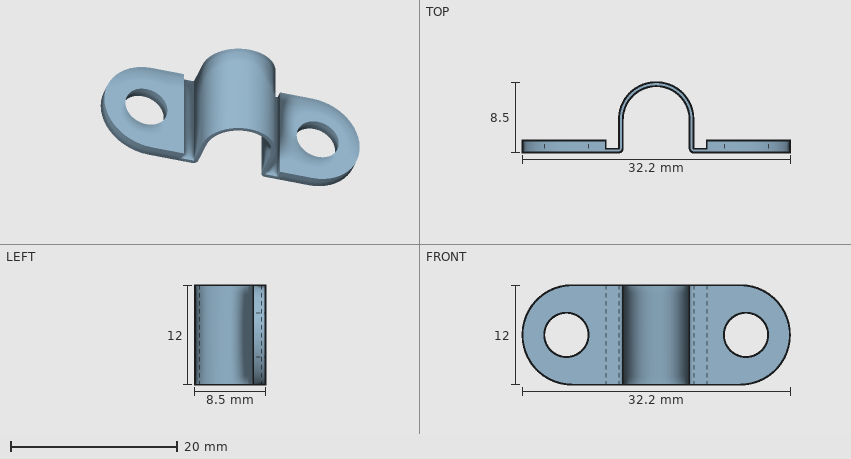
import cadquery as cq

overall_length = 32.2
overall_depth = 8.5
strap_width = 12.0

strap_thickness = 0.5
arch_outer_radius = 4.5
arch_inner_radius = arch_outer_radius - strap_thickness
arch_center_y = overall_depth - arch_outer_radius
mouth_radius = 0.6

pad_thickness = 1.5
pad_inner_x = 6.05
pad_end_radius = strap_width / 2
pad_end_x = overall_length / 2
hole_diameter = 5.3
hole_spacing = 21.6


def strap_body():
    """Build the bent strap with its thick pads, extruded across the strap width."""
    return (
        cq.Workplane("XY")
        .workplane(offset=-strap_width / 2)
        .moveTo(-pad_end_x, 0)
        .lineTo(-arch_inner_radius, 0)
        .lineTo(-arch_inner_radius, arch_center_y)
        .threePointArc((0, arch_center_y + arch_inner_radius), (arch_inner_radius, arch_center_y))
        .lineTo(arch_inner_radius, 0)
        .lineTo(pad_end_x, 0)
        .lineTo(pad_end_x, pad_thickness)
        .lineTo(pad_inner_x, pad_thickness)
        .lineTo(pad_inner_x, strap_thickness)
        .lineTo(arch_outer_radius, strap_thickness)
        .lineTo(arch_outer_radius, arch_center_y)
        .threePointArc((0, overall_depth), (-arch_outer_radius, arch_center_y))
        .lineTo(-arch_outer_radius, strap_thickness)
        .lineTo(-pad_inner_x, strap_thickness)
        .lineTo(-pad_inner_x, pad_thickness)
        .lineTo(-pad_end_x, pad_thickness)
        .close()
        .extrude(strap_width)
    )


def round_mouth(body):
    """Round the two bends where the flat base turns into the arch."""
    corners = [(-arch_inner_radius, 0, 0), (arch_inner_radius, 0, 0)]
    for corner in corners:
        body = body.edges(cq.selectors.NearestToPointSelector(corner)).fillet(mouth_radius)
    return body


def round_ends(body):
    """Trim the pads to full-radius ends."""
    envelope = (
        cq.Workplane("XZ")
        .slot2D(overall_length, 2 * pad_end_radius)
        .extrude(-overall_depth)
    )
    return body.intersect(envelope)


def drill_holes(body):
    """Cut one screw hole through each pad."""
    holes = (
        cq.Workplane("XZ")
        .pushPoints([(-hole_spacing / 2, 0), (hole_spacing / 2, 0)])
        .circle(hole_diameter / 2)
        .extrude(-pad_thickness)
    )
    return body.cut(holes)


result = drill_holes(round_ends(round_mouth(strap_body())))